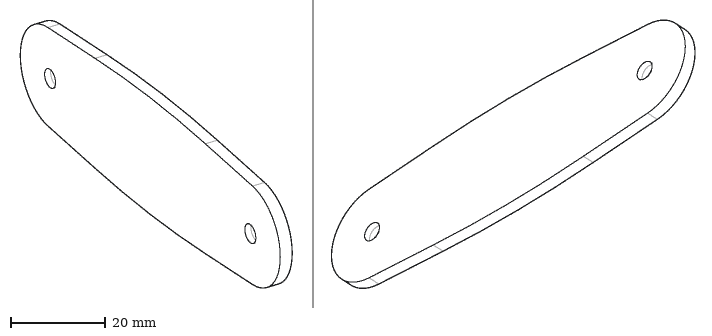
import cadquery as cq
import math

length = 104.0
height = 28.3
thickness = 3.0
end_radius = 12.0
hole_diameter = 4.4
crown_half_width = 22.0
flank_tilt = math.radians(4.2)

half_length = length / 2
half_height = height / 2
end_center = half_length - end_radius

tangent_x = end_center + end_radius * math.sin(flank_tilt)
tangent_z = end_radius * math.cos(flank_tilt)
crown_z = tangent_z + (tangent_x - crown_half_width) * math.tan(flank_tilt)


def make_plate():
    return (
        cq.Workplane("XZ")
        .moveTo(-tangent_x, tangent_z)
        .lineTo(-crown_half_width, crown_z)
        .threePointArc((0, half_height), (crown_half_width, crown_z))
        .lineTo(tangent_x, tangent_z)
        .threePointArc((half_length, 0), (tangent_x, -tangent_z))
        .lineTo(crown_half_width, -crown_z)
        .threePointArc((0, -half_height), (-crown_half_width, -crown_z))
        .lineTo(-tangent_x, -tangent_z)
        .threePointArc((-half_length, 0), (-tangent_x, tangent_z))
        .close()
        .extrude(thickness / 2, both=True)
    )


def make_holes():
    return (
        cq.Workplane("XZ")
        .pushPoints([(-end_center, 0), (end_center, 0)])
        .circle(hole_diameter / 2)
        .extrude(thickness, both=True)
    )


result = make_plate().cut(make_holes())